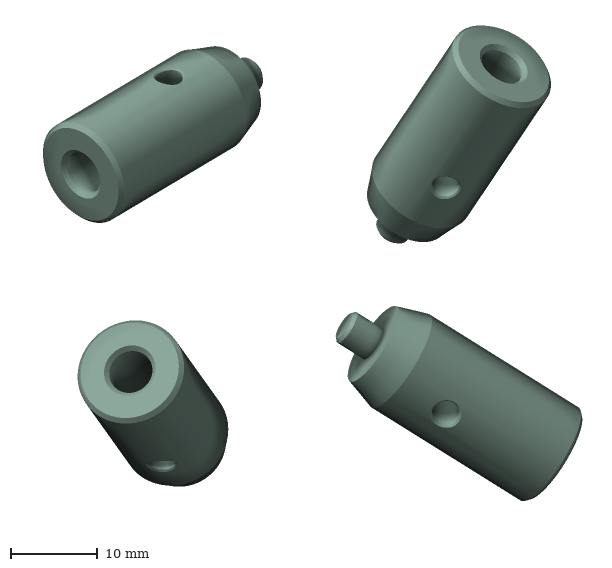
import cadquery as cq
import math

overall_length = 29.53
housing_diameter = 12.67
housing_length = 25.43
front_chamfer = 0.5

taper_length = 3.85
taper_end_diameter = 10.2

bore_diameter = 5.15
bore_mouth_chamfer = 0.5
drill_tip_angle = 118.0
tip_opening_radius = 0.6

cross_hole_diameter = 3.2
cross_hole_position = 15.2
cross_hole_chamfer = 0.2

pin_diameter = 4.15
pin_chamfer = 0.4

housing_radius = housing_diameter / 2
bore_radius = bore_diameter / 2
pin_radius = pin_diameter / 2
pin_length = overall_length - housing_length
tip_slope = math.tan(math.radians(drill_tip_angle / 2))
cross_hole_near_wall = cross_hole_position - cross_hole_diameter / 2
bore_tip = cross_hole_near_wall + tip_opening_radius / tip_slope
bore_depth = bore_tip - bore_radius / tip_slope


def revolve_about_y(profile):
    """Turn an (radius, y) outline into a solid of revolution around the Y axis."""
    return cq.Workplane("XY").polyline(profile).close().revolve(360, (0, 0, 0), (0, 1, 0))


def make_blank():
    """Cylinder with a front edge chamfer and a tapered rear end."""
    return revolve_about_y([
        (0, 0),
        (housing_radius - front_chamfer, 0),
        (housing_radius, front_chamfer),
        (housing_radius, housing_length - taper_length),
        (taper_end_diameter / 2, housing_length),
        (0, housing_length),
    ])


def make_bore():
    """Blind drilled hole with a chamfered mouth and a conical end."""
    return revolve_about_y([
        (0, 0),
        (bore_radius + bore_mouth_chamfer, 0),
        (bore_radius, bore_mouth_chamfer),
        (bore_radius, bore_depth),
        (0, bore_tip),
    ])


def make_housing():
    """Housing with its chamfered cross hole along Z and its front bore."""
    cross_hole = (
        cq.Workplane("XY", origin=(0, cross_hole_position, 0))
        .circle(cross_hole_diameter / 2)
        .extrude(housing_radius, both=True)
    )
    rim_box = cq.selectors.BoxSelector(
        (-cross_hole_diameter, cross_hole_position - cross_hole_diameter, -housing_diameter),
        (cross_hole_diameter, cross_hole_position + cross_hole_diameter, housing_diameter),
    )
    drilled = make_blank().cut(cross_hole)
    rims = drilled.edges(rim_box).edges("not %LINE")
    return rims.chamfer(cross_hole_chamfer).cut(make_bore())


def make_pin():
    """Round pin standing on the rear face, chamfered at its free end."""
    return revolve_about_y([
        (0, housing_length),
        (pin_radius, housing_length),
        (pin_radius, housing_length + pin_length - pin_chamfer),
        (pin_radius - pin_chamfer, overall_length),
        (0, overall_length),
    ])


housing = make_housing()
pin = make_pin()
result = cq.Compound.makeCompound([housing.val(), pin.val()])